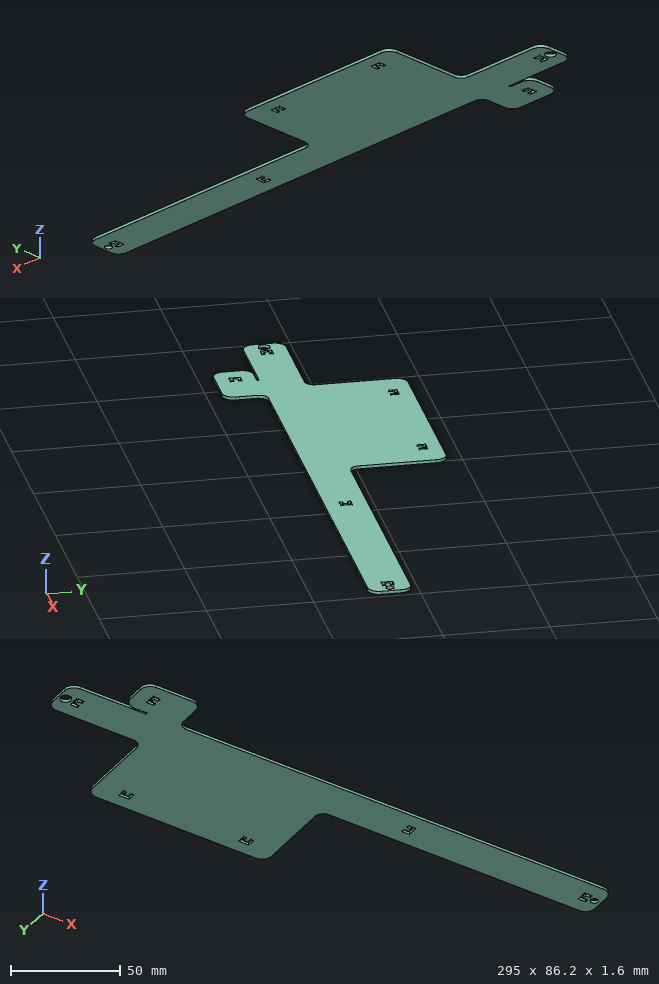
import cadquery as cq

length = 295.0
width = 86.2
thickness = 1.6
corner_radius = 5.3
inner_radius = 4.5

bar_bottom = 19.8
bar_height = 20.0
bar_top = bar_bottom + bar_height
bar_middle = bar_bottom + bar_height / 2

block_left = 51.5
block_right = 149.0

tab_left = 28.5
tab_right = 58.7
slit_end = 41.0
slit_width = 1.0
tab_top = bar_bottom - slit_width

left_hole_diameter = 5.3
left_hole_x = 3.8
right_hole_diameter = 3.5
right_hole_x = 291.5

slot_span = 5.3
slot_depth = 3.8
slot_width = 1.5
block_slot_y = 77.3
slots = [
    (10.0, bar_middle, 0),
    (190.5, bar_middle, 180),
    (286.5, bar_middle, 0),
    (38.5, 9.5, 0),
    (67.5, block_slot_y, 270),
    (132.8, block_slot_y, 270),
]


def near_corner(corner):
    """Selector for the vertical edge at an outline corner."""
    x, y = corner
    return cq.selectors.NearestToPointSelector((x, y, thickness / 2))


def make_plate():
    """Flat plate with every outline corner rounded except at the slit end."""
    outline = [
        (0, bar_bottom),
        (slit_end, bar_bottom),
        (slit_end, tab_top),
        (tab_left, tab_top),
        (tab_left, 0),
        (tab_right, 0),
        (tab_right, bar_bottom),
        (length, bar_bottom),
        (length, bar_top),
        (block_right, bar_top),
        (block_right, width),
        (block_left, width),
        (block_left, bar_top),
        (0, bar_top),
    ]
    plate = cq.Workplane("XY").polyline(outline).close().extrude(thickness)
    inner_corners = [(tab_right, bar_bottom), (block_left, bar_top), (block_right, bar_top)]
    for corner in inner_corners:
        plate = plate.edges(near_corner(corner)).fillet(inner_radius)
    outer_corners = [
        (0, bar_bottom),
        (0, bar_top),
        (length, bar_bottom),
        (length, bar_top),
        (block_left, width),
        (block_right, width),
        (tab_left, 0),
        (tab_right, 0),
        (tab_left, tab_top),
    ]
    for corner in outer_corners:
        plate = plate.edges(near_corner(corner)).fillet(corner_radius)
    return plate


def make_slot(x, y, direction):
    """Cutter for one U-shaped slot opening toward the given direction."""
    tongue_length = slot_depth - slot_width
    tongue_width = slot_span - 2 * slot_width
    frame = cq.Workplane("XY").rect(slot_depth, slot_span).extrude(thickness)
    tongue = cq.Workplane("XY").center(slot_width / 2, 0).rect(tongue_length, tongue_width).extrude(thickness)
    slot = frame.cut(tongue)
    return slot.rotate((0, 0, 0), (0, 0, 1), direction).translate((x, y, 0))


def make_hole(x, diameter):
    """Cutter for a round hole on the bar's center line."""
    return cq.Workplane("XY").center(x, bar_middle).circle(diameter / 2).extrude(thickness)


result = make_plate()
result = result.cut(make_hole(left_hole_x, left_hole_diameter))
result = result.cut(make_hole(right_hole_x, right_hole_diameter))
for slot_x, slot_y, opening_direction in slots:
    result = result.cut(make_slot(slot_x, slot_y, opening_direction))